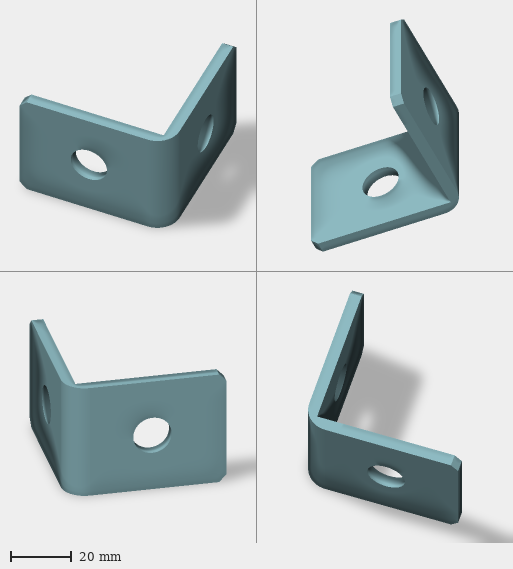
import cadquery as cq

leg_length = 54.3
height = 40.0
thickness = 4.0
bend_radius = 2 * thickness
corner_chamfer = 2.5
hole_diameter = 13.05
hole_from_end = 25.05

inner_x = leg_length - thickness


def angle_plate():
    """L-shaped plate with a rounded outside bend and chamfered free corners."""
    profile = (
        cq.Workplane("XY")
        .polyline([
            (0, 0),
            (leg_length, 0),
            (leg_length, leg_length),
            (inner_x, leg_length),
            (inner_x, thickness),
            (0, thickness),
        ])
        .close()
    )
    plate = profile.extrude(height)
    plate = plate.edges(cq.selectors.NearestToPointSelector((leg_length, 0, height / 2))).fillet(bend_radius)
    plate = plate.faces("<X").edges("|Y").chamfer(corner_chamfer)
    return plate.faces(">Y").edges("|X").chamfer(corner_chamfer)


def hole_cutter(center, direction):
    """Cylinder passing through one leg from its outer face."""
    return cq.Workplane(
        cq.Solid.makeCylinder(hole_diameter / 2, thickness, cq.Vector(*center), cq.Vector(*direction))
    )


front_hole = hole_cutter((hole_from_end, 0, height / 2), (0, 1, 0))
side_hole = hole_cutter((leg_length, leg_length - hole_from_end, height / 2), (-1, 0, 0))

result = angle_plate().cut(front_hole).cut(side_hole)